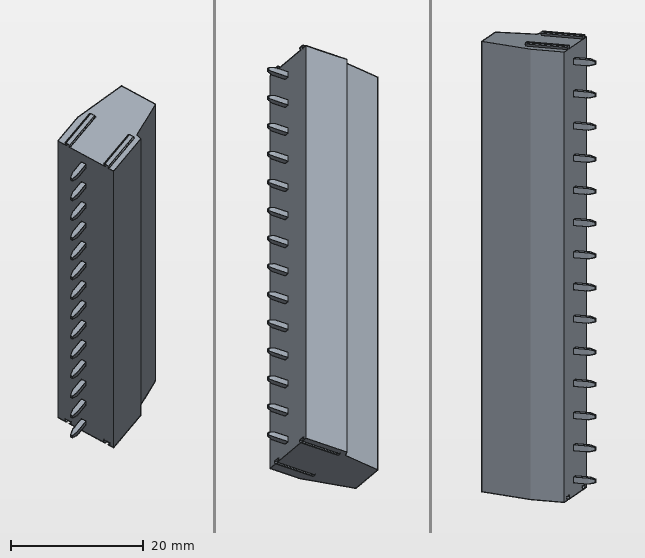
import cadquery as cq

body_width = 10.2
body_depth = 14.0
total_height = 70.6
ridge_height = 0.6
body_height = total_height - ridge_height
back_left = 2.2
back_right = 8.4
left_bend = 5.4
shoulder_width = 0.9
shoulder_low = 7.35
shoulder_high = 7.6

pin_count = 14
pin_pitch = body_height / pin_count
pin_center_x = 4.7
pin_width = 0.85
pin_thickness = 0.9
pin_length = 3.3
pin_shank = 2.4
pin_tip_width = 0.35
pin_tip_thickness = 0.5

dovetail_length = 6.7
dovetail_wide = 1.1
dovetail_narrow = 0.5
dovetail_centers = (1.85, 8.9)
ridge_bevel_width = 0.2
ridge_bevel_height = 0.15
groove_depth = 0.65
groove_flare_height = 0.35


def make_housing():
    outline = [
        (0, 0),
        (body_width, 0),
        (body_width, shoulder_low),
        (body_width - shoulder_width, shoulder_high),
        (back_right, body_depth),
        (back_left, body_depth),
        (0, left_bend),
    ]
    return cq.Workplane("XY").polyline(outline).close().extrude(body_height)


def make_dovetail(center_x, base_z, height, flare_height, top_width):
    """Bar along Y: flares from narrow to wide, then runs up to its flat top."""
    half_narrow = dovetail_narrow / 2
    half_wide = dovetail_wide / 2
    half_top = top_width / 2
    section = [
        (-half_narrow, 0),
        (half_narrow, 0),
        (half_wide, flare_height),
        (half_top, height),
        (-half_top, height),
        (-half_wide, flare_height),
    ]
    section_plane = cq.Workplane("XZ", origin=(center_x, 0, base_z))
    return section_plane.polyline(section).close().extrude(-dovetail_length)


def make_ridge(center_x):
    """Dovetail on the top face with bevelled upper corners."""
    flare_height = ridge_height - ridge_bevel_height
    top_width = dovetail_wide - 2 * ridge_bevel_width
    return make_dovetail(center_x, body_height, ridge_height, flare_height, top_width)


def make_groove(center_x):
    """Dovetail void in the bottom face with straight inner sides."""
    return make_dovetail(center_x, 0, groove_depth, groove_flare_height, dovetail_wide)


def make_pin(center_z):
    """Rectangular pin pointing toward -Y, with a tapered tip."""
    front_face = cq.Workplane("XZ", origin=(pin_center_x, 0, center_z))
    shank = front_face.rect(pin_width, pin_thickness).extrude(pin_shank)
    tip = (
        front_face.workplane(offset=pin_shank)
        .rect(pin_width, pin_thickness)
        .workplane(offset=pin_length - pin_shank)
        .rect(pin_tip_width, pin_tip_thickness)
        .loft(ruled=True)
    )
    return shank.union(tip)


result = make_housing()
for dovetail_x in dovetail_centers:
    result = result.union(make_ridge(dovetail_x))
    result = result.cut(make_groove(dovetail_x))
for pin_index in range(pin_count):
    result = result.union(make_pin((pin_index + 0.5) * pin_pitch))